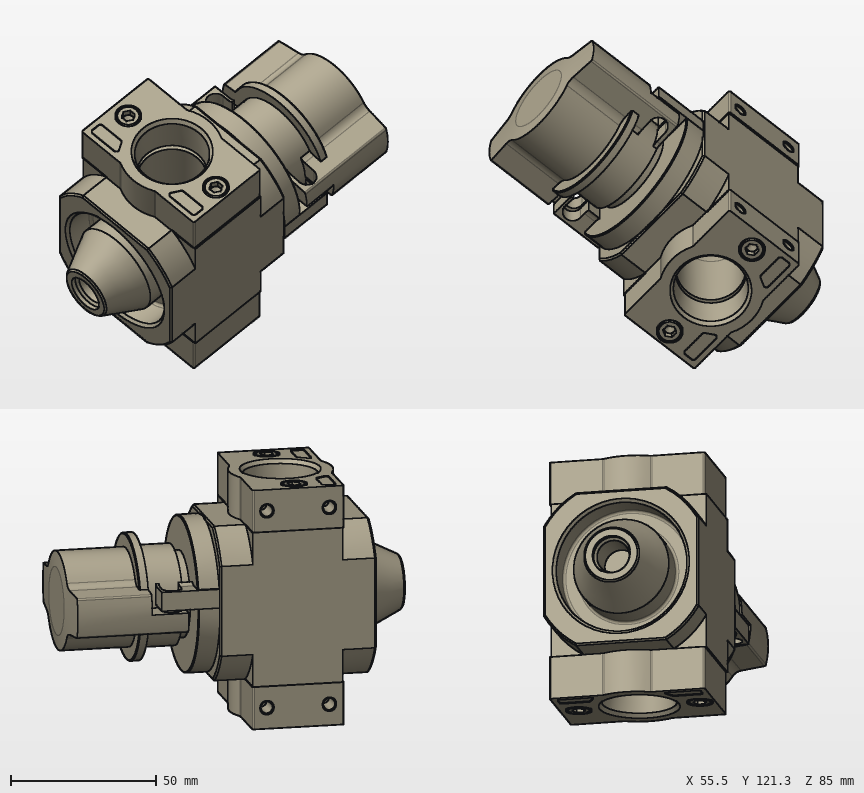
import cadquery as cq
import math


EDGE = 0.6

BLOCK_SIZE = 55.0
HALF_BLOCK = BLOCK_SIZE / 2
BLOCK_FRONT = -27.8
BLOCK_BACK = 27.5
CORNER_RADIUS = 31.8
SQUARE_HALF_LENGTH = 15.9
THROUGH_PORT_DIA = 24.0

POCKET_DIA = 46.3
POCKET_DEPTH = 11.2
POCKET_RIM = 1.1
FLOOR_RADIUS = 1.0

NOZZLE_TIP = -42.1
NOZZLE_ROOT_DIA = 33.7
NOZZLE_TIP_DIA = 19.6
NOZZLE_CONE_START = -27.2
NOZZLE_BORE_DIA = 11.4
NOZZLE_BORE_DEPTH = 14.5
NOZZLE_MOUTH_DIA = 13.3
NOZZLE_MOUTH_DEPTH = 1.7

PLATE_THICKNESS = 15.0
PLATE_OUTER = HALF_BLOCK + PLATE_THICKNESS
PLATE_WIDTH = 55.0
PLATE_LENGTH = 32.3
PLATE_LEFT = -28.0
PLATE_CENTRE_X = PLATE_LEFT + PLATE_WIDTH / 2
PLATE_BOSS_RADIUS = 18.2
BOSS_FILLET = 1.2
PORT_MOUTH_DIA = 28.1
PORT_MOUTH_DEPTH = 1.5
PORT_THREAD_DIA = 25.8
PORT_THREAD_END_DIA = 24.4
SEAL_RECESS_DIA = 29.7
SEAL_RECESS_DEPTH = 2.0
SIDE_HOLE_DIA = 4.1
SIDE_HOLE_MOUTH_DIA = 5.0
SIDE_HOLE_DEPTH = 9.7
SIDE_HOLE_Y = 11.0
SIDE_HOLE_HEIGHT = 7.5

LABEL_DEPTH = 0.4
LABEL_OUTER = 25.3
LABEL_INNER_TOP = 14.8
LABEL_INNER_BOTTOM = 12.0
LABEL_TOP = -9.1
LABEL_BOTTOM = -14.0
LABEL_CORNER = 1.0

SCREW_X = 21.5
SCREW_HEAD_DIA = 8.5
SCREW_HEAD_CHAMFER = 0.5
SCREW_HEAD_HEIGHT = 5.0
SCREW_SHANK_DIA = 5.0
SCREW_LENGTH = 21.8
SCREW_POCKET_DIA = 9.1
SOCKET_ACROSS_FLATS = 4.1
SOCKET_DEPTH = 2.4
SOCKET_CONE_DEPTH = 1.2

CAP_DIA = 54.8
CAP_BACK = 35.2
CAP_CHAMFER = 0.4
ARM_END = 48.0
ARM_INNER = 18.1
ARM_OUTER = 27.4
ARM_LOW = 1.2
ARM_HIGH = 7.9
ARM_FILLET_START = 20.4
ARM_FILLET = 3.6

NECK_DIA = 30.3
NECK_END = 38.5
COLLAR_DIA = 35.4
COLLAR_END = 51.4
RING_DIA = 44.5
RING_END = 54.6
RING_CHAMFER = 0.4
GRIP_DIA = 34.7
KNOB_END = 79.2
END_FLAT_DIA = 23.9
END_DROP = 1.5
WING_DIA = 54.6
WING_HALF_AT_AXIS = 9.6
WING_HALF_AT_TIP = 6.9
WING_FILLET = 4.2
WING_EDGE = 0.7

SLOT_WIDTH = 6.9
SLOT_Y = 43.5
SLOT_END_WING = 25.3
SLOT_END_ARM = 26.1


def revolve_about_y(points):
    """Revolve a closed (radius, y) outline about the Y axis."""
    return cq.Workplane("XY").polyline(points).close().revolve(360, (0, 0, 0), (0, 1, 0))


def cylinder_y(diameter, start, end):
    """Cylinder on the Y axis between two Y positions."""
    return cq.Workplane("XZ", origin=(0, start, 0)).circle(diameter / 2).extrude(start - end)


def box_between(low, high):
    """Box between two opposite corners."""
    size = [b - a for a, b in zip(low, high)]
    return cq.Workplane("XY").box(*size, centered=False).translate(low)


def other_end(shape):
    """Mirror image below the XY plane of something above it."""
    return shape.mirror("XY")


def half_turn(shape):
    """Copy turned half a turn about the Y axis."""
    return shape.rotate((0, 0, 0), (0, 1, 0), 180)


def make_screw(x):
    """Socket head screw in the top plate, its head flush with the plate."""
    head = (
        cq.Workplane("XY", origin=(x, 0, PLATE_OUTER))
        .circle(SCREW_HEAD_DIA / 2)
        .extrude(-SCREW_HEAD_HEIGHT)
        .faces(">Z").edges().chamfer(SCREW_HEAD_CHAMFER)
    )
    shank = (
        cq.Workplane("XY", origin=(x, 0, PLATE_OUTER))
        .circle(SCREW_SHANK_DIA / 2)
        .extrude(-SCREW_LENGTH)
    )
    across_corners = SOCKET_ACROSS_FLATS / math.cos(math.pi / 6)
    socket = (
        cq.Workplane("XY", origin=(x, 0, PLATE_OUTER))
        .polygon(6, across_corners)
        .extrude(-SOCKET_DEPTH)
    )
    socket_cone = cq.Workplane(
        cq.Solid.makeCone(
            SOCKET_ACROSS_FLATS / 2, 0, SOCKET_CONE_DEPTH,
            cq.Vector(x, 0, PLATE_OUTER - SOCKET_DEPTH), cq.Vector(0, 0, -1),
        )
    )
    return head.union(shank).cut(socket).cut(socket_cone)


def screw_space(x):
    """Clearance pocket for the head and close hole for the shank of one screw."""
    pocket = (
        cq.Workplane("XY", origin=(x, 0, PLATE_OUTER))
        .circle(SCREW_POCKET_DIA / 2)
        .extrude(-SCREW_HEAD_HEIGHT)
    )
    hole = (
        cq.Workplane("XY", origin=(x, 0, PLATE_OUTER))
        .circle(SCREW_SHANK_DIA / 2)
        .extrude(-SCREW_LENGTH)
    )
    return pocket.union(hole)


def make_block():
    """Square block whose ends are rounded about Y; the middle stays square."""
    length = BLOCK_BACK - BLOCK_FRONT
    rounded = (
        cq.Workplane("XZ", origin=(0, BLOCK_FRONT, 0))
        .rect(BLOCK_SIZE, BLOCK_SIZE)
        .extrude(-length)
        .intersect(cylinder_y(2 * CORNER_RADIUS, BLOCK_FRONT, BLOCK_BACK))
        .faces("<Y or >Y").edges().chamfer(EDGE)
    )
    middle = cq.Workplane("XY").box(BLOCK_SIZE, 2 * SQUARE_HALF_LENGTH, BLOCK_SIZE)
    return rounded.union(middle)


def make_pocket():
    """Round pocket in the front face, with a chamfered mouth and a filleted floor."""
    floor = BLOCK_FRONT + POCKET_DEPTH
    bore = cylinder_y(POCKET_DIA, BLOCK_FRONT, floor).faces(">Y").edges().fillet(FLOOR_RADIUS)
    rim_radius = POCKET_DIA / 2 + POCKET_RIM
    mouth = revolve_about_y([
        (0, BLOCK_FRONT),
        (rim_radius, BLOCK_FRONT),
        (rim_radius - POCKET_RIM, BLOCK_FRONT + POCKET_RIM),
        (0, BLOCK_FRONT + POCKET_RIM),
    ])
    return bore.union(mouth)


def make_nozzle():
    """Conical nozzle standing on the pocket floor, flared at its root, with a stepped blind bore."""
    floor = BLOCK_FRONT + POCKET_DEPTH
    root = NOZZLE_ROOT_DIA / 2
    tip = NOZZLE_TIP_DIA / 2
    centre_of_flare = (root + FLOOR_RADIUS, floor - FLOOR_RADIUS)
    flare_middle = (
        centre_of_flare[0] - FLOOR_RADIUS * math.sqrt(0.5),
        centre_of_flare[1] + FLOOR_RADIUS * math.sqrt(0.5),
    )
    nozzle = (
        cq.Workplane("XY")
        .moveTo(0, floor)
        .lineTo(root + FLOOR_RADIUS, floor)
        .threePointArc(flare_middle, (root, floor - FLOOR_RADIUS))
        .lineTo(root, NOZZLE_CONE_START)
        .lineTo(tip, NOZZLE_TIP + EDGE)
        .lineTo(tip - EDGE, NOZZLE_TIP)
        .lineTo(0, NOZZLE_TIP)
        .close()
        .revolve(360, (0, 0, 0), (0, 1, 0))
    )
    mouth = NOZZLE_MOUTH_DIA / 2
    bore = NOZZLE_BORE_DIA / 2
    mouth_end = NOZZLE_TIP + NOZZLE_MOUTH_DEPTH
    stepped_bore = revolve_about_y([
        (0, NOZZLE_TIP),
        (mouth, NOZZLE_TIP),
        (mouth, mouth_end),
        (bore, mouth_end + mouth - bore),
        (bore, NOZZLE_TIP + NOZZLE_BORE_DEPTH),
        (0, NOZZLE_TIP + NOZZLE_BORE_DEPTH),
    ])
    return nozzle.cut(stepped_bore)


def make_housing():
    """Block with its nozzle, the port through it and the screw holes."""
    port = cq.Workplane("XY").circle(THROUGH_PORT_DIA / 2).extrude(HALF_BLOCK, both=True)
    housing = make_block().cut(make_pocket()).union(make_nozzle()).cut(port)
    for x in (-SCREW_X, SCREW_X):
        housing = housing.cut(screw_space(x)).cut(other_end(screw_space(x)))
    return housing


def make_plate_blank():
    """Rectangular plate with a round boss bulging out at the front and back."""
    boss = (
        cq.Workplane("XY", origin=(PLATE_CENTRE_X, 0, HALF_BLOCK))
        .circle(PLATE_BOSS_RADIUS)
        .extrude(PLATE_THICKNESS)
    )
    plate = (
        cq.Workplane("XY", origin=(PLATE_CENTRE_X, 0, HALF_BLOCK))
        .rect(PLATE_WIDTH, PLATE_LENGTH)
        .extrude(PLATE_THICKNESS)
        .edges("|Z").fillet(EDGE)
        .union(boss)
    )
    boss_half_width = math.sqrt(PLATE_BOSS_RADIUS**2 - (PLATE_LENGTH / 2) ** 2) + EDGE
    near_boss = cq.selectors.BoxSelector(
        (PLATE_CENTRE_X - boss_half_width, -PLATE_LENGTH, HALF_BLOCK),
        (PLATE_CENTRE_X + boss_half_width, PLATE_LENGTH, PLATE_OUTER),
    )
    return plate.edges("|Z").edges(near_boss).fillet(BOSS_FILLET)


def make_port_bore():
    """Chamfered mouth, tapered thread bore and seal recess, on the Z axis."""
    mouth = PORT_MOUTH_DIA / 2
    recess = SEAL_RECESS_DIA / 2
    recess_top = HALF_BLOCK + SEAL_RECESS_DEPTH
    return (
        cq.Workplane("XZ")
        .polyline([
            (0, PLATE_OUTER),
            (mouth, PLATE_OUTER),
            (PORT_THREAD_DIA / 2, PLATE_OUTER - PORT_MOUTH_DEPTH),
            (PORT_THREAD_END_DIA / 2, recess_top),
            (recess, recess_top),
            (recess, HALF_BLOCK),
            (0, HALF_BLOCK),
        ])
        .close()
        .revolve(360, (0, 0, 0), (0, 1, 0))
    )


def make_label(side):
    """Shallow label recess with one slanted end; side is -1 for -X and 1 for +X."""
    return (
        cq.Workplane("XY", origin=(PLATE_CENTRE_X, 0, PLATE_OUTER))
        .polyline([
            (side * LABEL_OUTER, LABEL_TOP),
            (side * LABEL_INNER_TOP, LABEL_TOP),
            (side * LABEL_INNER_BOTTOM, LABEL_BOTTOM),
            (side * LABEL_OUTER, LABEL_BOTTOM),
        ])
        .close()
        .extrude(-LABEL_DEPTH)
        .edges("|Z").fillet(LABEL_CORNER)
    )


def make_side_hole(y):
    """Blind hole with a chamfered mouth in the -X face of the plate."""
    bore = SIDE_HOLE_DIA / 2
    mouth = SIDE_HOLE_MOUTH_DIA / 2
    return (
        cq.Workplane("XY")
        .polyline([
            (0, 0),
            (0, mouth),
            (mouth - bore, bore),
            (SIDE_HOLE_DEPTH, bore),
            (SIDE_HOLE_DEPTH, 0),
        ])
        .close()
        .revolve(360, (0, 0, 0), (1, 0, 0))
        .translate((PLATE_LEFT, y, PLATE_OUTER - SIDE_HOLE_HEIGHT))
    )


def make_plate():
    """Port plate on top of the block."""
    plate = make_plate_blank().cut(make_port_bore())
    for side in (-1, 1):
        plate = plate.cut(make_label(side)).cut(screw_space(side * SCREW_X))
        plate = plate.cut(make_side_hole(side * SIDE_HOLE_Y))
    return plate


def make_slot(slot_end):
    """Padlock slot on the -X side, open toward the axis and rounded at its outer end."""
    radius = SLOT_WIDTH / 2
    round_x = -slot_end + radius
    return (
        cq.Workplane("XY", origin=(0, SLOT_Y, 0))
        .moveTo(0, radius)
        .lineTo(round_x, radius)
        .threePointArc((-slot_end, 0), (round_x, -radius))
        .lineTo(0, -radius)
        .close()
        .extrude(2 * WING_HALF_AT_AXIS, both=True)
    )


def make_arm():
    """Slotted arm on the -X side of the cap, its top curving up toward the axis."""
    rise_run = ARM_FILLET_START - ARM_INNER
    arc_centre_z = ARM_HIGH + ARM_FILLET
    inner_top = arc_centre_z - math.sqrt(ARM_FILLET**2 - rise_run**2)
    half_angle = math.asin(rise_run / ARM_FILLET) / 2
    arc_middle = (
        -ARM_FILLET_START + ARM_FILLET * math.sin(half_angle),
        arc_centre_z - ARM_FILLET * math.cos(half_angle),
    )
    return (
        cq.Workplane("XZ", origin=(0, BLOCK_BACK, 0))
        .moveTo(-ARM_OUTER, ARM_LOW)
        .lineTo(-ARM_OUTER, ARM_HIGH)
        .lineTo(-ARM_FILLET_START, ARM_HIGH)
        .threePointArc(arc_middle, (-ARM_INNER, inner_top))
        .lineTo(-ARM_INNER, ARM_LOW)
        .close()
        .extrude(BLOCK_BACK - ARM_END)
        .cut(make_slot(SLOT_END_ARM))
    )


def make_cap():
    """Round cap behind the block with two locking arms."""
    disc = cylinder_y(CAP_DIA, BLOCK_BACK, CAP_BACK).faces(">Y").edges().chamfer(CAP_CHAMFER)
    arm = make_arm()
    return disc.union(arm).union(half_turn(arm))


def make_knob_core():
    """Neck, collar, ring and grip turned about the Y axis."""
    neck = NECK_DIA / 2
    collar = COLLAR_DIA / 2
    ring = RING_DIA / 2
    grip = GRIP_DIA / 2
    return revolve_about_y([
        (0, CAP_BACK),
        (neck, CAP_BACK),
        (neck, NECK_END),
        (collar, NECK_END),
        (collar, COLLAR_END),
        (ring, COLLAR_END),
        (ring, RING_END - RING_CHAMFER),
        (ring - RING_CHAMFER, RING_END),
        (grip, RING_END),
        (grip, KNOB_END),
        (0, KNOB_END),
    ])


def make_wings():
    """Flat wings blended into the grip, with notches that clear the cap arms."""
    tip_x = WING_DIA / 2
    bar = (
        cq.Workplane("XZ", origin=(0, NECK_END, 0))
        .polyline([
            (-tip_x, -WING_HALF_AT_TIP),
            (0, -WING_HALF_AT_AXIS),
            (tip_x, -WING_HALF_AT_TIP),
            (tip_x, WING_HALF_AT_TIP),
            (0, WING_HALF_AT_AXIS),
            (-tip_x, WING_HALF_AT_TIP),
        ])
        .close()
        .extrude(NECK_END - KNOB_END)
        .intersect(cylinder_y(WING_DIA, NECK_END, KNOB_END))
        .edges("|Y").edges(">X or <X").fillet(WING_EDGE)
    )
    grip = cylinder_y(GRIP_DIA, NECK_END, KNOB_END)
    wings = bar.union(grip)
    half_grip = GRIP_DIA / 2
    roots = cq.selectors.BoxSelector(
        (-half_grip, NECK_END, -half_grip),
        (half_grip, KNOB_END, half_grip),
    )
    wings = wings.edges("|Y").edges(roots).fillet(WING_FILLET)
    notch = box_between((-WING_DIA, NECK_END, 0), (0, COLLAR_END, WING_DIA))
    slot = make_slot(SLOT_END_WING)
    return wings.cut(notch).cut(half_turn(notch)).cut(slot).cut(half_turn(slot))


def make_end_shape():
    """Turned envelope that gives the knob its slightly conical end face."""
    wing = WING_DIA / 2
    return revolve_about_y([
        (0, CAP_BACK),
        (wing, CAP_BACK),
        (wing, KNOB_END - END_DROP),
        (END_FLAT_DIA / 2, KNOB_END),
        (0, KNOB_END),
    ])


def make_knob():
    """Winged knob seated on the cap."""
    return make_knob_core().union(make_wings()).intersect(make_end_shape())


housing = make_housing()
top_plate = make_plate()
bottom_plate = other_end(top_plate)
cap = make_cap()
knob = make_knob()

screws = []
for screw_x in (-SCREW_X, SCREW_X):
    top_screw = make_screw(screw_x)
    screws.append(top_screw.val())
    screws.append(other_end(top_screw).val())

result = cq.Compound.makeCompound(
    [housing.val(), top_plate.val(), bottom_plate.val(), cap.val(), knob.val(), *screws]
)